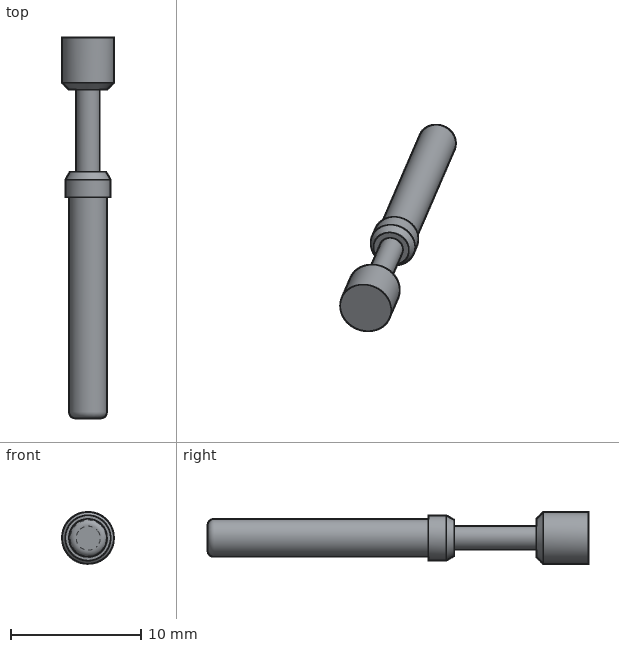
import cadquery as cq
import math

total_length = 29.3

head_diameter = 4.0
head_length = 4.0
head_chamfer = 0.53

stem_diameter = 1.85

collar_diameter = 3.5
collar_length = 2.0
collar_taper_length = 0.62
collar_taper_angle = 30.0

barrel_diameter = 2.93
barrel_length = 17.0
tip_radius = 0.5

head_radius = head_diameter / 2
stem_radius = stem_diameter / 2
collar_radius = collar_diameter / 2
barrel_radius = barrel_diameter / 2
collar_top_radius = collar_radius - collar_taper_length * math.tan(math.radians(collar_taper_angle))

tip_y = -barrel_length
head_top_y = total_length - barrel_length
head_bottom_y = head_top_y - head_length

tip_arc_offset = tip_radius * (1 - math.sqrt(0.5))

profile = (
    cq.Workplane("XY")
    .moveTo(0, tip_y)
    .lineTo(barrel_radius - tip_radius, tip_y)
    .threePointArc(
        (barrel_radius - tip_arc_offset, tip_y + tip_arc_offset),
        (barrel_radius, tip_y + tip_radius),
    )
    .lineTo(barrel_radius, 0)
    .lineTo(collar_radius, 0)
    .lineTo(collar_radius, collar_length - collar_taper_length)
    .lineTo(collar_top_radius, collar_length)
    .lineTo(stem_radius, collar_length)
    .lineTo(stem_radius, head_bottom_y)
    .lineTo(head_radius - head_chamfer, head_bottom_y)
    .lineTo(head_radius, head_bottom_y + head_chamfer)
    .lineTo(head_radius, head_top_y)
    .lineTo(0, head_top_y)
    .close()
)

result = profile.revolve(360, (0, 0, 0), (0, 1, 0))